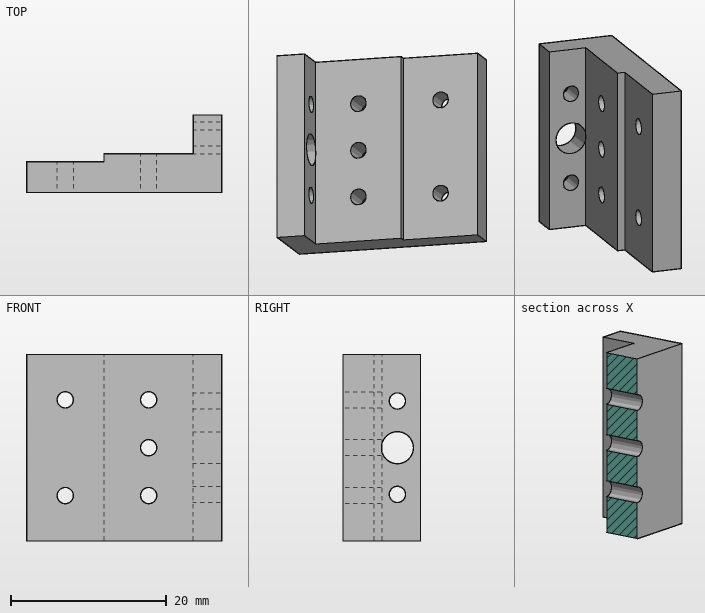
import cadquery as cq

length = 25.12
depth = 10.0
height = 24.0

thin_plate = 4.0
thick_plate = 5.0
step_x = 9.95
flange_thickness = 3.7

small_hole_diameter = 2.05
left_column_x = 4.97
right_column_x = 15.7
plate_hole_offset = 6.15

large_hole_diameter = 4.1
flange_hole_inset = 3.0
flange_hole_offset = 6.0

mid_height = height / 2
flange_x = length - flange_thickness
flange_hole_y = depth - flange_hole_inset


def hole_along_y(x, z, diameter):
    """Cutter that passes through the whole depth of the part."""
    circle = cq.Workplane("XZ", origin=(x, 0, z)).circle(diameter / 2)
    return circle.extrude(-depth)


def hole_along_x(z, diameter):
    """Cutter that passes through the flange."""
    circle = cq.Workplane("YZ", origin=(flange_x, flange_hole_y, z)).circle(diameter / 2)
    return circle.extrude(flange_thickness)


profile = [
    (0, 0),
    (length, 0),
    (length, depth),
    (flange_x, depth),
    (flange_x, thick_plate),
    (step_x, thick_plate),
    (step_x, thin_plate),
    (0, thin_plate),
]
result = cq.Workplane("XY").polyline(profile).close().extrude(height)

for hole_x in (left_column_x, right_column_x):
    for offset in (-plate_hole_offset, plate_hole_offset):
        result = result.cut(hole_along_y(hole_x, mid_height + offset, small_hole_diameter))
result = result.cut(hole_along_y(right_column_x, mid_height, small_hole_diameter))

result = result.cut(hole_along_x(mid_height, large_hole_diameter))
for offset in (-flange_hole_offset, flange_hole_offset):
    result = result.cut(hole_along_x(mid_height + offset, small_hole_diameter))